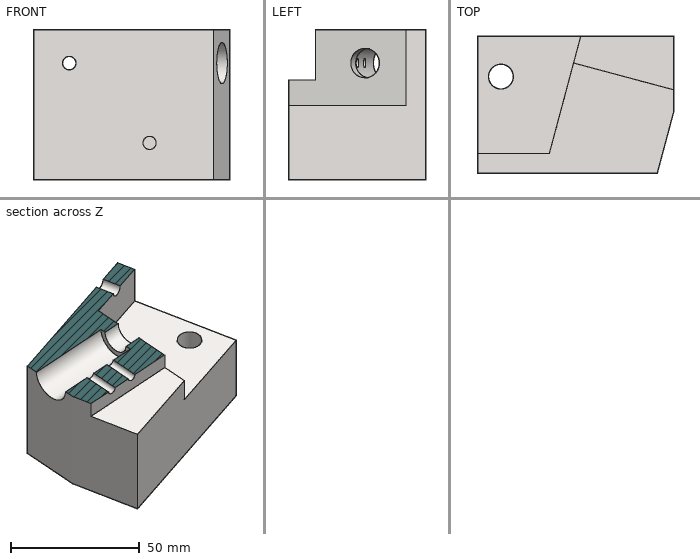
import cadquery as cq
import math

LENGTH = 76.33
WIDTH = 53.34
HEIGHT = 58.42

SKEW = 15.0
SKEW_TAN = math.tan(math.radians(SKEW))

CORNER_CUT_X = 69.85
CORNER_CUT_Y = (LENGTH - CORNER_CUT_X) / SKEW_TAN

POCKET_FLOOR_Z = 28.96
FRONT_WALL = 7.75
POCKET_FRONT_X = 27.9
POCKET_BACK_X = POCKET_FRONT_X + (WIDTH - FRONT_WALL) * SKEW_TAN

LEDGE_FLOOR_Z = 38.86
LEDGE_CORNER_Y = 42.9
LEDGE_CORNER_X = POCKET_FRONT_X + (LEDGE_CORNER_Y - FRONT_WALL) * SKEW_TAN
LEDGE_RIGHT_Y = LEDGE_CORNER_Y - (LENGTH - LEDGE_CORNER_X) * SKEW_TAN

BORE_Z = 45.4
BORE_START_Y = 23.65
BORE_START_X = POCKET_FRONT_X + (BORE_START_Y - FRONT_WALL) * SKEW_TAN
BORE_DIAMETER = 11.43
BORE_LENGTH = 7.2
COUNTERBORE_DIAMETER = 15.93

CROSS_HOLE_DIAMETER = 3.45
CROSS_HOLE_STATIONS = (18.1, 28.9)

FLOOR_HOLE_DIAMETER = 9.53
FLOOR_HOLE_X = 9.1
FLOOR_HOLE_Y = 37.6

FRONT_HOLE_DIAMETER = 5.11
WALL_HOLE_X = 13.9
WALL_HOLE_Z = BORE_Z
BLIND_HOLE_X = 45.1
BLIND_HOLE_Z = 14.4
BLIND_HOLE_DEPTH = 12.7


def make_block():
    """Full-height block with the slanted front right corner."""
    outline = [
        (0, 0),
        (CORNER_CUT_X, 0),
        (LENGTH, CORNER_CUT_Y),
        (LENGTH, WIDTH),
        (0, WIDTH),
    ]
    return cq.Workplane("XY").polyline(outline).close().extrude(HEIGHT)


def prism_to_top(outline, floor_z):
    """Cutting prism from floor_z up to the top face."""
    prism = cq.Workplane("XY").workplane(offset=floor_z)
    return prism.polyline(outline).close().extrude(HEIGHT - floor_z)


def make_pocket():
    outline = [
        (0, FRONT_WALL),
        (POCKET_FRONT_X, FRONT_WALL),
        (POCKET_BACK_X, WIDTH),
        (0, WIDTH),
    ]
    return prism_to_top(outline, POCKET_FLOOR_Z)


def make_ledge():
    outline = [
        (LEDGE_CORNER_X, LEDGE_CORNER_Y),
        (LENGTH, LEDGE_RIGHT_Y),
        (LENGTH, WIDTH),
        (POCKET_BACK_X, WIDTH),
    ]
    return prism_to_top(outline, LEDGE_FLOOR_Z)


def place_on_bore(tool):
    """Move a tool modelled along +X at the origin onto the bore axis."""
    turned = tool.rotate((0, 0, 0), (0, 0, 1), -SKEW)
    return turned.translate((BORE_START_X, BORE_START_Y, BORE_Z))


def make_bore():
    """Small bore from the pocket, opening into a counterbore that exits at the cut corner."""
    small = cq.Workplane("YZ").circle(BORE_DIAMETER / 2).extrude(BORE_LENGTH)
    large = cq.Workplane("YZ").workplane(offset=BORE_LENGTH)
    large = large.circle(COUNTERBORE_DIAMETER / 2).extrude(LENGTH)
    return place_on_bore(small.union(large))


def make_cross_holes():
    """Holes square to the bore, running from its axis out through the ledge face."""
    stations = [(station, 0) for station in CROSS_HOLE_STATIONS]
    holes = cq.Workplane("XZ").pushPoints(stations)
    return place_on_bore(holes.circle(CROSS_HOLE_DIAMETER / 2).extrude(-WIDTH))


def make_floor_hole():
    hole = cq.Workplane("XY").center(FLOOR_HOLE_X, FLOOR_HOLE_Y)
    return hole.circle(FLOOR_HOLE_DIAMETER / 2).extrude(HEIGHT)


def make_front_hole(x, z, depth):
    hole = cq.Workplane("XZ").center(x, z)
    return hole.circle(FRONT_HOLE_DIAMETER / 2).extrude(-depth)


result = (
    make_block()
    .cut(make_pocket())
    .cut(make_ledge())
    .cut(make_bore())
    .cut(make_cross_holes())
    .cut(make_floor_hole())
    .cut(make_front_hole(WALL_HOLE_X, WALL_HOLE_Z, FRONT_WALL))
    .cut(make_front_hole(BLIND_HOLE_X, BLIND_HOLE_Z, BLIND_HOLE_DEPTH))
)